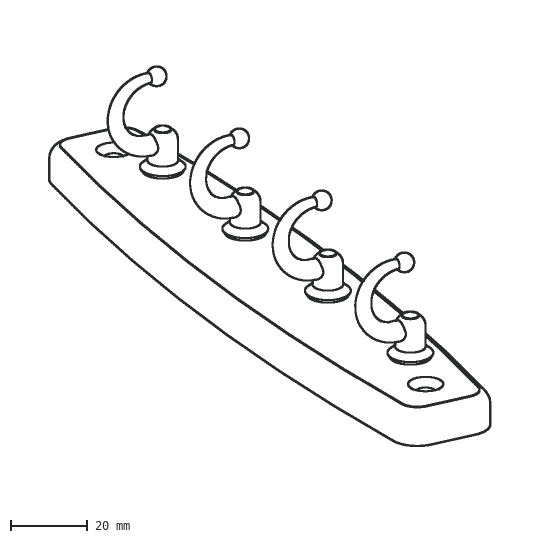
import cadquery as cq
import math

length = 200.0
width = 40.0
thickness = 10.0
end_width = 26.5
corner_radius = 7.5
edge_rounding = 4.0
lip_inset = 2.8

hole_x = 85.0
hole_diameter = 5.0
sink_diameter = 9.2
sink_angle = 90

hook_count = 4
hook_spacing = 45.0
hook_y = 5.0
flange_radius = 6.0
flange_foot_radius = 5.5
flange_rim_height = 1.0
flange_height = 2.8
post_radius = 4.0
post_height = 11.8
post_rounding = 3.0
post_face_radius = 2.2
arm_root_radius = 2.8
arm_tip_radius = 1.5
arm_bend_radius = 9.5
arm_bend_y = 0.5
ball_radius = 2.5
ball_y = 3.2
ball_z = 37.2
arm_stations = 5


def make_plate():
    """Bowed plate with a rounded top edge that stops at a small lip around the flat face."""
    half_length = length / 2
    blank = (
        cq.Workplane("XY")
        .moveTo(-half_length, -end_width / 2)
        .threePointArc((0, -width / 2), (half_length, -end_width / 2))
        .lineTo(half_length, end_width / 2)
        .threePointArc((0, width / 2), (-half_length, end_width / 2))
        .close()
        .extrude(thickness)
        .edges("|Z")
        .fillet(corner_radius)
    )
    raised_outline = blank.faces("<Z").wires().toPending().offset2D(-lip_inset)
    raised_face = raised_outline.extrude(thickness, combine=False)
    plate = blank.faces(">Z").edges().fillet(edge_rounding).union(raised_face)
    return (
        plate.faces(">Z")
        .workplane(origin=(0, 0, thickness))
        .pushPoints([(-hole_x, 0), (hole_x, 0)])
        .cskHole(hole_diameter, sink_diameter, sink_angle)
    )


def make_post():
    """Turned flange and post, with a top rounding that stops at a small lip around the flat face."""
    arc_center_r = post_radius - post_rounding
    arc_center_z = post_height - post_rounding
    lip_base_z = arc_center_z + math.sqrt(post_rounding**2 - (post_face_radius - arc_center_r) ** 2)
    return (
        cq.Workplane("XZ", origin=(0, hook_y, thickness))
        .lineTo(flange_foot_radius, 0)
        .lineTo(flange_radius, flange_rim_height)
        .lineTo(post_radius, flange_height)
        .lineTo(post_radius, arc_center_z)
        .radiusArc((post_face_radius, lip_base_z), -post_rounding)
        .lineTo(post_face_radius, post_height)
        .lineTo(0, post_height)
        .close()
        .revolve(360, (0, 0, 0), (0, 1, 0))
    )


def make_arm():
    """Tapered round arm: straight root, half-circle bend and straight tip."""
    bend_z = ball_z - arm_bend_radius
    root_z = bend_z - arm_bend_radius
    root = cq.Workplane("XZ", origin=(0, hook_y, root_z)).circle(arm_root_radius)
    root = root.extrude(hook_y - arm_bend_y)
    tip = cq.Workplane("XZ", origin=(0, ball_y, ball_z)).circle(arm_tip_radius)
    tip = tip.extrude(ball_y - arm_bend_y)
    path = (
        cq.Workplane("YZ")
        .moveTo(arm_bend_y, root_z)
        .threePointArc((arm_bend_y - arm_bend_radius, bend_z), (arm_bend_y, ball_z))
    )
    sections = cq.Workplane("XY")
    for station in range(arm_stations):
        fraction = station / (arm_stations - 1)
        angle = math.pi * fraction
        center = (
            0,
            arm_bend_y - arm_bend_radius * math.sin(angle),
            bend_z - arm_bend_radius * math.cos(angle),
        )
        heading = (0, -math.cos(angle), math.sin(angle))
        radius = arm_root_radius + fraction * (arm_tip_radius - arm_root_radius)
        plane = cq.Plane(origin=center, xDir=(1, 0, 0), normal=heading)
        circle = cq.Workplane(plane).circle(radius)
        sections.ctx.pendingWires.extend(circle.ctx.pendingWires)
    bend = sections.sweep(path, multisection=True)
    return root.union(bend).union(tip)


def make_hook():
    ball = cq.Workplane("XY", origin=(0, ball_y, ball_z)).sphere(ball_radius)
    return make_post().union(make_arm()).union(ball)


result = make_plate()
hook = make_hook()
for index in range(hook_count):
    hook_x = (index - (hook_count - 1) / 2) * hook_spacing
    result = result.union(hook.translate((hook_x, 0, 0)))